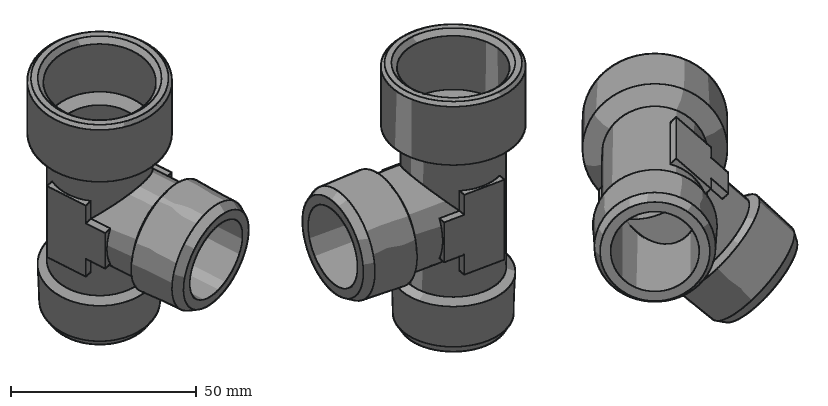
import math

import cadquery as cq


total_height = 84.0
branch_reach = 39.0
branch_height = 39.0
body_radius = 28.5 / 2
bore_radius = 23.8 / 2

cone_slope = math.tan(math.radians(30))

socket_radius = 39.0 / 2
socket_straight_length = 20.0
socket_chamfer = 1.0
socket_bore_radius = 30.29 / 2
socket_mouth_radius = 33.3 / 2
socket_depth = 19.0
socket_cone_top = total_height - socket_straight_length
socket_cone_bottom = socket_cone_top - (socket_radius - body_radius) * cone_slope

male_length = 17.5
male_large_radius = 33.45 / 2
male_tip_radius = 29.5 / 2
male_tip_chamfer = 2.7
male_shoulder = (male_large_radius - body_radius) * cone_slope
taper = 1 / 16

pad_width = 13.0
pad_height = 26.0
pad_arm_reach = 13.0
pad_arm_height = 13.0
pad_face_offset = 15.0


def revolve_about_z(outline):
    """Revolve a closed list of (radius, height) points about the Z axis."""
    return cq.Workplane("XZ").polyline(outline).close().revolve(360, (0, 0, 0), (0, 1, 0))


def male_arm(length):
    """Arm with its male end face at Z = 0, running up to Z = length."""
    taper_top = male_length - male_shoulder
    small_radius = male_large_radius - taper * (taper_top - male_tip_chamfer) / 2
    return revolve_about_z([
        (0, 0),
        (male_tip_radius, 0),
        (small_radius, male_tip_chamfer),
        (male_large_radius, taper_top),
        (body_radius, male_length),
        (body_radius, length),
        (0, length),
    ])


def to_branch(arm):
    """Lay an upright arm along X so that its Z = 0 face becomes the branch end."""
    return arm.rotate((0, 0, 0), (0, 1, 0), -90).translate((branch_reach, 0, branch_height))


def socket():
    return revolve_about_z([
        (0, socket_cone_bottom),
        (body_radius, socket_cone_bottom),
        (socket_radius, socket_cone_top),
        (socket_radius, total_height - socket_chamfer),
        (socket_radius - socket_chamfer, total_height),
        (0, total_height),
    ])


def socket_bore():
    """Socket cavity with a chamfered mouth and a conical floor."""
    mouth_chamfer = socket_mouth_radius - socket_bore_radius
    floor_top = total_height - socket_depth
    floor_bottom = floor_top - (socket_bore_radius - bore_radius) * cone_slope
    return revolve_about_z([
        (0, floor_bottom),
        (bore_radius, floor_bottom),
        (socket_bore_radius, floor_top),
        (socket_bore_radius, total_height - mouth_chamfer),
        (socket_mouth_radius, total_height),
        (0, total_height),
    ])


def straight_bore(length):
    return cq.Workplane("XY").circle(bore_radius).extrude(length)


def pads():
    """T-shaped slab through the body; its two Y faces are the pad faces."""
    slab_depth = 2 * pad_face_offset
    plate = cq.Workplane("XY").box(pad_width, slab_depth, pad_height)
    arm = (
        cq.Workplane("XY")
        .box(pad_arm_reach, slab_depth, pad_arm_height)
        .translate((pad_arm_reach / 2, 0, 0))
    )
    return plate.union(arm).translate((0, 0, branch_height))


run = male_arm(socket_cone_bottom).union(socket())
branch = to_branch(male_arm(branch_reach))

result = (
    run.union(branch)
    .union(pads())
    .cut(straight_bore(total_height))
    .cut(to_branch(straight_bore(branch_reach)))
    .cut(socket_bore())
)